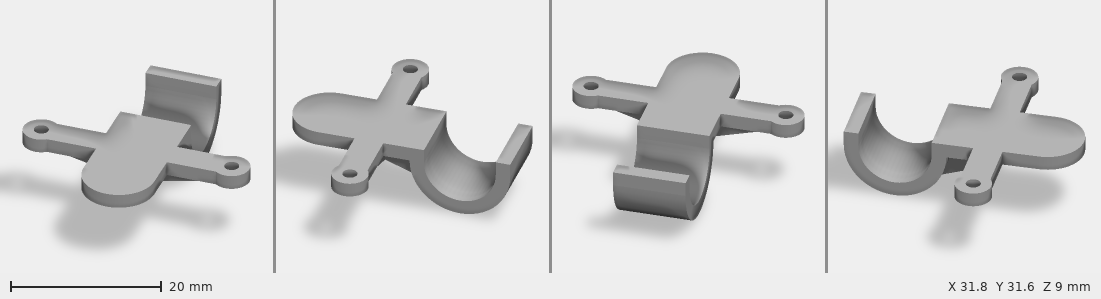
import cadquery as cq
import math

overall_width = 31.8
overall_length = 31.65
overall_height = 9.0
thickness = 2.0
body_width = 10.0
ear_diameter = 5.0
hole_diameter = 2.0
arm_width = 4.0
web_thickness = 2.0
plate_front_reach = 12.0
rib_front_reach = 8.0
rib_foot_drop = 6.33
gusset_reach = 12.0

ear_x = (overall_width - ear_diameter) / 2
underside_z = -thickness
hook_outer_radius = overall_height - thickness
hook_inner_radius = hook_outer_radius - thickness
hook_y = overall_length - plate_front_reach - hook_outer_radius
plate_end_y = hook_y - hook_inner_radius
round_end_y = body_width / 2 - plate_front_reach
rib_foot_y = hook_y - math.sqrt(hook_outer_radius**2 - rib_foot_drop**2)
rib_slope = rib_foot_drop / (rib_foot_y + rib_front_reach)


def make_plate():
    """Body with one rounded end, and two arms carrying drilled ears."""
    half_width = body_width / 2
    body = (
        cq.Workplane("XY")
        .moveTo(-half_width, plate_end_y)
        .lineTo(-half_width, round_end_y)
        .threePointArc((0, -plate_front_reach), (half_width, round_end_y))
        .lineTo(half_width, plate_end_y)
        .close()
        .extrude(-thickness)
    )
    ear_points = [(-ear_x, 0), (ear_x, 0)]
    arms = cq.Workplane("XY").rect(2 * ear_x, arm_width).extrude(-thickness)
    ears = cq.Workplane("XY").pushPoints(ear_points).circle(ear_diameter / 2).extrude(-thickness)
    holes = cq.Workplane("XY").pushPoints(ear_points).circle(hole_diameter / 2).extrude(-thickness)
    return body.union(arms).union(ears).cut(holes)


def make_hook():
    """Half ring with straight walls rising to the top face."""
    outer_y = hook_y + hook_outer_radius
    inner_y = hook_y + hook_inner_radius
    return (
        cq.Workplane("YZ")
        .moveTo(outer_y, 0)
        .lineTo(outer_y, underside_z)
        .threePointArc(
            (hook_y, underside_z - hook_outer_radius),
            (hook_y - hook_outer_radius, underside_z),
        )
        .lineTo(hook_y - hook_outer_radius, 0)
        .lineTo(plate_end_y, 0)
        .lineTo(plate_end_y, underside_z)
        .threePointArc((hook_y, underside_z - hook_inner_radius), (inner_y, underside_z))
        .lineTo(inner_y, 0)
        .close()
        .extrude(body_width / 2, both=True)
    )


def make_rib():
    """Central rib whose back edge is buried inside the hook wall."""
    return (
        cq.Workplane("YZ")
        .moveTo(-rib_front_reach, underside_z)
        .lineTo(rib_foot_y, underside_z - rib_foot_drop)
        .lineTo(hook_y - hook_outer_radius, underside_z)
        .close()
        .extrude(web_thickness / 2, both=True)
    )


def make_gusset(side):
    """Side web tapering from the sloped rib edge to a tip line under the arm."""
    root_x = side * web_thickness / 2
    tip_x = side * gusset_reach

    def gusset_corners(y):
        root_z = underside_z - rib_slope * (y + rib_front_reach)
        return [
            cq.Vector(root_x, y, underside_z),
            cq.Vector(tip_x, y, underside_z),
            cq.Vector(root_x, y, root_z),
        ]

    def flat_face(corners):
        return cq.Face.makeFromWires(cq.Wire.makePolygon(corners, close=True))

    front = gusset_corners(-web_thickness / 2)
    back = gusset_corners(web_thickness / 2)
    front_root, front_tip, front_low = front
    back_root, back_tip, back_low = back
    twisted_underside = cq.Face.makeRuledSurface(
        cq.Edge.makeLine(front_tip, front_low),
        cq.Edge.makeLine(back_tip, back_low),
    )
    faces = [
        flat_face(front),
        flat_face(back),
        flat_face([front_root, front_tip, back_tip, back_root]),
        flat_face([front_root, front_low, back_low, back_root]),
        twisted_underside,
    ]
    return cq.Workplane(cq.Solid.makeSolid(cq.Shell.makeShell(faces)).fix())


result = make_plate().union(make_hook()).union(make_rib())
for side in (-1, 1):
    result = result.union(make_gusset(side))
result = result.clean()